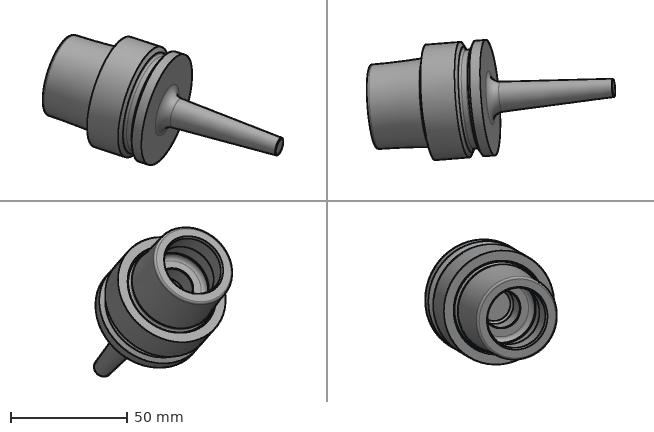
import cadquery as cq
import math


nose_x = -24.9
nose_round = 1.0
taper_front_radius = 18.3
taper_back_radius = 19.25
taper_back_x = -1.9
taper_curve_sag = 0.2

taper_land_end_x = -1.45
neck_radius = 18.8
recess_depth = 0.8
neck_root_radius = 1.1
recess_mouth_radius = 20.6

collar_radius = 25.0
collar_length = 26.0
groove_center_x = 18.15
groove_mouth_width = 6.6
groove_depth = 3.6
groove_flank_angle = 30.0
groove_bottom_width = 4.1
groove_corner_radius = 0.95

tip_x = 80.0
tip_radius = 4.0
tip_chamfer = 0.3
shank_angle = 3.0
shank_root_radius = 5.0

lip_radius = 13.1
lip_mouth_radius = 13.75
lip_mouth_angle = 30.0
lip_depth = 9.3
chamber_radius = 14.5
chamber_shoulder_angle = 30.0
chamber_length = 9.0
chamber_step = 0.35
chamber_corner_radius = 2.25
hole_radius = 8.1
hole_mouth_chamfer = 0.3
hole_depth = 10.0
hole_floor_radius = 7.0


def tangent(angle):
    return math.tan(math.radians(angle))


def sine(angle):
    return math.sin(math.radians(angle))


def cosine(angle):
    return math.cos(math.radians(angle))


def revolve_about_x(profile):
    """Close a half profile and turn it about the X axis."""
    return profile.close().revolve(360, (0, 0, 0), (1, 0, 0))


def make_body():
    """Taper, neck, collar and shank without the groove and the bore."""
    taper_front_x = nose_x + nose_round
    taper_mid_x = (taper_front_x + taper_back_x) / 2
    taper_mid_radius = (taper_front_radius + taper_back_radius) / 2 - taper_curve_sag
    round_offset = nose_round * sine(45)

    land_drop = taper_back_radius - neck_radius
    neck_root_x = recess_depth - neck_root_radius
    neck_root_offset = neck_root_radius * (1 - cosine(45))
    recess_bottom_radius = neck_radius + neck_root_radius

    shank_root_center_x = collar_length + shank_root_radius
    shank_root_end_x = shank_root_center_x - shank_root_radius * sine(shank_angle)
    shank_root_end_radius = tip_radius + (tip_x - shank_root_end_x) * tangent(shank_angle)
    shank_root_center_radius = shank_root_end_radius + shank_root_radius * cosine(shank_angle)
    shank_root_mid_angle = (90 - shank_angle) / 2
    shank_root_mid_x = shank_root_center_x - shank_root_radius * cosine(shank_root_mid_angle)
    shank_root_mid_radius = shank_root_center_radius - shank_root_radius * sine(shank_root_mid_angle)

    profile = (
        cq.Workplane("XY")
        .moveTo(nose_x, 0)
        .lineTo(nose_x, taper_front_radius - nose_round)
        .threePointArc(
            (taper_front_x - round_offset, taper_front_radius - nose_round + round_offset),
            (taper_front_x, taper_front_radius),
        )
        .threePointArc((taper_mid_x, taper_mid_radius), (taper_back_x, taper_back_radius))
        .lineTo(taper_land_end_x, taper_back_radius)
        .lineTo(taper_land_end_x + land_drop, neck_radius)
        .lineTo(neck_root_x, neck_radius)
        .threePointArc(
            (recess_depth - neck_root_offset, neck_radius + neck_root_offset),
            (recess_depth, recess_bottom_radius),
        )
        .lineTo(0, recess_mouth_radius)
        .lineTo(0, collar_radius)
        .lineTo(collar_length, collar_radius)
        .lineTo(collar_length, shank_root_center_radius)
        .threePointArc((shank_root_mid_x, shank_root_mid_radius), (shank_root_end_x, shank_root_end_radius))
        .lineTo(tip_x - tip_chamfer, tip_radius + tip_chamfer * tangent(shank_angle))
        .lineTo(tip_x, tip_radius - tip_chamfer)
        .lineTo(tip_x, 0)
    )
    return revolve_about_x(profile)


def make_groove():
    """Groove around the collar: sloped flanks down to a straight-walled, round-cornered bottom."""
    floor_radius = collar_radius - groove_depth
    mouth_half = groove_mouth_width / 2
    wall_half = groove_bottom_width / 2
    wall_top_radius = collar_radius - (mouth_half - wall_half) / tangent(groove_flank_angle)
    corner_half = wall_half - groove_corner_radius
    corner_top_radius = floor_radius + groove_corner_radius
    corner_offset = groove_corner_radius * sine(45)

    profile = (
        cq.Workplane("XY")
        .moveTo(groove_center_x - mouth_half, collar_radius)
        .lineTo(groove_center_x - wall_half, wall_top_radius)
        .lineTo(groove_center_x - wall_half, corner_top_radius)
        .threePointArc(
            (groove_center_x - corner_half - corner_offset, corner_top_radius - corner_offset),
            (groove_center_x - corner_half, floor_radius),
        )
        .lineTo(groove_center_x + corner_half, floor_radius)
        .threePointArc(
            (groove_center_x + corner_half + corner_offset, corner_top_radius - corner_offset),
            (groove_center_x + wall_half, corner_top_radius),
        )
        .lineTo(groove_center_x + wall_half, wall_top_radius)
        .lineTo(groove_center_x + mouth_half, collar_radius)
    )
    return revolve_about_x(profile)


def make_bore():
    """Lip, undercut chamber and blind centre hole, opening at the nose."""
    lip_start_x = nose_x + (lip_mouth_radius - lip_radius) / tangent(lip_mouth_angle)
    lip_end_x = nose_x + lip_depth
    chamber_start_x = lip_end_x + (chamber_radius - lip_radius) * tangent(chamber_shoulder_angle)
    chamber_end_x = lip_end_x + chamber_length
    corner_x = chamber_end_x + chamber_step
    seat_radius = chamber_radius - chamber_step
    corner_radius = seat_radius - chamber_corner_radius
    floor_x = corner_x + chamber_corner_radius
    hole_end_x = floor_x + hole_depth
    corner_offset = chamber_corner_radius * sine(45)

    profile = (
        cq.Workplane("XY")
        .moveTo(nose_x, 0)
        .lineTo(nose_x, lip_mouth_radius)
        .lineTo(lip_start_x, lip_radius)
        .lineTo(lip_end_x, lip_radius)
        .lineTo(chamber_start_x, chamber_radius)
        .lineTo(chamber_end_x, chamber_radius)
        .lineTo(corner_x, seat_radius)
        .threePointArc(
            (corner_x + corner_offset, corner_radius + corner_offset),
            (floor_x, corner_radius),
        )
        .lineTo(floor_x, hole_radius + hole_mouth_chamfer)
        .lineTo(floor_x + hole_mouth_chamfer, hole_radius)
        .lineTo(hole_end_x - (hole_radius - hole_floor_radius), hole_radius)
        .lineTo(hole_end_x, hole_floor_radius)
        .lineTo(hole_end_x, 0)
    )
    return revolve_about_x(profile)


result = make_body().cut(make_groove()).cut(make_bore())